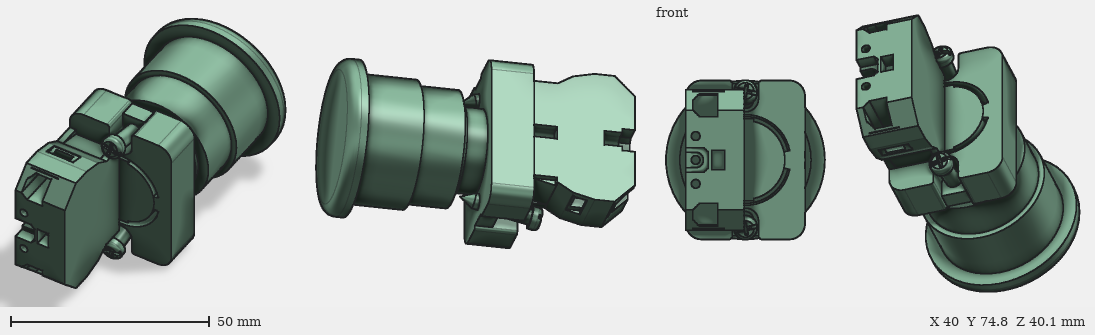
import cadquery as cq
import math


collar_depth = 11.0
stem_radius = 10.9
stem_exposed = 5.5
gasket_radius = 12.0
gasket_depth = 1.25
bezel_radius = 15.0
bezel_depth = 11.0
sleeve_radius = 16.5
sleeve_depth = 15.0
cap_radius = 20.0
cap_depth = 5.0
cap_edge_radius = 3.0
gasket_front = collar_depth + stem_exposed
bezel_front = gasket_front + gasket_depth
sleeve_front = bezel_front + bezel_depth
cap_front = sleeve_front + sleeve_depth
cap_back = cap_front + cap_depth

nose_radius = 9.9
nose_depth = 6.0
nose_key_width = 4.3
nose_key_height = 10.3

collar_width = 30.0
collar_height = 40.0
collar_corner_radius = 4.0
bore_radius = 11.4
bore_depth = 7.0
bore_tab_angle = 24.0
notch_width = 6.6
notch_floor = 12.1
notch_lip_radius = 0.85
web_depth = 4.5
web_top = 19.1
web_front = collar_depth - web_depth

screw_tilt = 11.6
screw_turn = 12.0
head_seat_y = -2.55
head_seat_z = 16.84
head_radius = 2.97
head_height = 2.6
head_rim = 1.4
head_face_radius = 2.1
head_round_radius = 2.7
head_round_height = 2.2
shank_radius = 2.0
shank_length = 14.9
tip_length = 3.7
drive_slot_width = 0.9
drive_slot_depth = 0.8
cross_length = 3.2
cross_width = 0.8
cross_depth = 1.6

block_depth = 26.04
block_left = -collar_width / 2
block_right = -0.35
block_front = -block_depth
nose_half_height = 12.5
body_half_height = 17.7
shoulder_half_height = 16.35
neck_half_height = 14.0
neck_root_half_height = 12.55
nose_slope_end = block_front + 5.25
flat_end = block_front + 10.45
shoulder_y = block_front + 16.0
neck_y = block_front + 19.85
pad_half_height = 13.95
pad_width = 1.85
foot_cut_y = block_front + 20.1

terminal_left = -13.2
terminal_right = -7.0
terminal_low = 10.9
terminal_high = 16.65
terminal_chamfer = 1.65
terminal_depth = 14.9
window_right = -5.3
window_front = block_front + 11.95
window_back = block_front + 15.6
window_floor = 16.25
slit_height = 17.25
slit_width = 0.1
slit_depth = 0.1
pin_x = -12.5
pin_radius = 1.1
pin_depth = 4.0
pin_spacing = 6.0
fixing_slot_radius = 1.95
fixing_slot_depth = 7.9
fixing_recess_right = -9.3
fixing_recess_half_height = 3.05
fixing_recess_depth = 3.25
fixing_recess_chamfer = 1.1
test_window_left = -8.5
test_window_right = -5.25
test_window_half_height = 2.4
test_window_depth = 4.0
side_groove_radius = 1.7
side_groove_center_x = block_left + 2.0
side_groove_length = 6.0


def box(x0, x1, y0, y1, z0, z1):
    """Box between two opposite corners."""
    return cq.Workplane("XY").box(x1 - x0, y1 - y0, z1 - z0, centered=False).translate((x0, y0, z0))


def disc(radius, y0, y1, x=0, z=0):
    """Cylinder along Y from y0 to y1."""
    return cq.Workplane("XZ", origin=(x, y0, z)).circle(radius).extrude(y0 - y1)


def prism_y(points, y0, y1):
    """Polygon of (x, z) points extruded along Y from y0 to y1."""
    return cq.Workplane("XZ", origin=(0, y0, 0)).polyline(points).close().extrude(y0 - y1)


def prism_x(points, x0, x1):
    """Polygon of (y, z) points extruded along X from x0 to x1."""
    return cq.Workplane("YZ", origin=(x0, 0, 0)).polyline(points).close().extrude(x1 - x0)


def both_ends(shape):
    """The shape together with its mirror image below the XY plane."""
    return shape.union(shape.mirror("XY"))


def make_cap():
    sleeve = disc(sleeve_radius, sleeve_front, cap_front)
    rim = disc(cap_radius, cap_front, cap_back).faces(">Y").edges().fillet(cap_edge_radius)
    return sleeve.union(rim)


def make_button_body():
    nose = disc(nose_radius, 0, nose_depth)
    key = box(-nose_key_width / 2, nose_key_width / 2, 0, nose_depth, -nose_key_height, nose_key_height)
    stem = disc(stem_radius, nose_depth, gasket_front)
    gasket = disc(gasket_radius, gasket_front, bezel_front)
    bezel = disc(bezel_radius, bezel_front, sleeve_front)
    return nose.union(key).union(stem).union(gasket).union(bezel)


def make_screw():
    """Upper screw, turned about its own axis and then tilted with its head up and outwards."""
    profile = (
        cq.Workplane("XY")
        .moveTo(0, -head_height)
        .lineTo(head_face_radius, -head_height)
        .threePointArc((head_round_radius, -head_round_height), (head_radius, -head_rim))
        .lineTo(head_radius, 0)
        .lineTo(shank_radius, 0)
        .lineTo(shank_radius, shank_length)
        .lineTo(0, shank_length + tip_length)
        .close()
    )
    screw = profile.revolve(360, (0, 0, 0), (0, 1, 0))
    slot_half = drive_slot_width / 2
    slot = box(-head_radius, head_radius, -head_height, drive_slot_depth - head_height, -slot_half, slot_half)
    cross = box(
        -cross_width / 2, cross_width / 2,
        -head_height, cross_depth - head_height,
        -cross_length / 2, cross_length / 2,
    )
    cross = cross.union(cross.rotate((0, 0, 0), (0, 1, 0), 90))
    screw = screw.cut(slot).cut(cross)
    screw = screw.rotate((0, 0, 0), (0, 1, 0), screw_turn)
    screw = screw.rotate((0, 0, 0), (1, 0, 0), -screw_tilt)
    return screw.translate((0, head_seat_y, head_seat_z))


def make_collar_notch():
    """Upper screw notch: round floor, open top with rounded lips, closed behind by a web."""
    half = notch_width / 2
    top = collar_height / 2
    lip = notch_lip_radius
    diagonal = lip * (1 - math.sqrt(0.5))
    outline = (
        cq.Workplane("XZ")
        .moveTo(-half - lip, top)
        .threePointArc((-half - diagonal, top - diagonal), (-half, top - lip))
        .lineTo(-half, notch_floor + half)
        .threePointArc((0, notch_floor), (half, notch_floor + half))
        .lineTo(half, top - lip)
        .threePointArc((half + diagonal, top - diagonal), (half + lip, top))
        .close()
    )
    notch = outline.extrude(-collar_depth)
    web = box(-half, half, web_front, collar_depth, 0, web_top)
    return notch.cut(web)


def make_collar(button_body, screws):
    collar = (
        cq.Workplane("XZ")
        .rect(collar_width, collar_height)
        .extrude(-collar_depth)
        .edges("|Y")
        .fillet(collar_corner_radius)
    )
    collar = collar.cut(both_ends(make_collar_notch()))
    reach = 2 * bore_radius
    rise = reach * math.tan(math.radians(bore_tab_angle / 2))
    tab_wedges = [[(0, 0), (side * reach, -rise), (side * reach, rise)] for side in (-1, 1)]
    annulus = disc(bore_radius, 0, bore_depth)
    for wedge in tab_wedges:
        annulus = annulus.cut(prism_y(wedge, 0, bore_depth))
    collar = collar.cut(annulus).cut(button_body)
    for screw in screws:
        collar = collar.cut(screw)
    return collar


def make_block_blank():
    """Waisted profile with flat pads beside the sloping neck."""
    upper = [
        (0, neck_root_half_height),
        (neck_y, neck_half_height),
        (shoulder_y, shoulder_half_height),
        (flat_end, body_half_height),
        (nose_slope_end, body_half_height),
        (block_front, nose_half_height),
    ]
    lower = [(y, -z) for y, z in reversed(upper)]
    blank = prism_x(upper + lower, block_left, block_right)
    for x in (block_left, block_right - pad_width):
        blank = blank.union(box(x, x + pad_width, neck_y, 0, -pad_half_height, pad_half_height))
    foot_cut = box(
        block_left, block_left + pad_width, foot_cut_y, 0, -body_half_height, -neck_root_half_height
    )
    return blank.cut(foot_cut)


def make_terminal_pocket():
    c = terminal_chamfer
    outline = [
        (terminal_right, terminal_low),
        (terminal_right, terminal_high),
        (terminal_left + c, terminal_high),
        (terminal_left, terminal_high - c),
        (terminal_left, terminal_low + c),
        (terminal_left + c, terminal_low),
    ]
    return prism_y(outline, block_front, block_front + terminal_depth)


def make_label_window():
    """Flat-floored window on the upper slope; the terminal pocket below breaks through its floor."""
    return box(terminal_left, window_right, window_front, window_back, window_floor, body_half_height)


def make_nose_slit():
    """Hairline slit across the upper front slope, centred on the sloping surface."""
    slope_run = nose_slope_end - block_front
    slope_rise = body_half_height - nose_half_height
    slope_y = block_front + slope_run * (slit_height - nose_half_height) / slope_rise
    return box(
        terminal_left, window_right,
        slope_y - slit_depth, slope_y + slit_depth,
        slit_height - slit_width / 2, slit_height + slit_width / 2,
    )


def make_fixing_slot():
    """Stepped side-entry slot around the middle pin hole."""
    r = fixing_slot_radius
    slot_back = block_front + fixing_slot_depth
    slot = box(block_left, pin_x, block_front, slot_back, -r, r).union(
        disc(r, block_front, slot_back, pin_x)
    )
    h = fixing_recess_half_height
    c = fixing_recess_chamfer
    outline = [
        (block_left, -h),
        (fixing_recess_right - c, -h),
        (fixing_recess_right, c - h),
        (fixing_recess_right, h - c),
        (fixing_recess_right - c, h),
        (block_left, h),
    ]
    recess = prism_y(outline, block_front, block_front + fixing_recess_depth)
    pin_hole = disc(pin_radius, slot_back, slot_back + pin_depth, pin_x)
    return slot.union(recess).union(pin_hole)


def make_side_groove():
    r = side_groove_radius
    groove = box(block_left, side_groove_center_x, -side_groove_length, 0, -r, r)
    return groove.union(disc(r, -side_groove_length, 0, side_groove_center_x))


def make_contact_block():
    block = make_block_blank()
    block = block.cut(both_ends(make_terminal_pocket()))
    block = block.cut(both_ends(make_label_window()))
    block = block.cut(both_ends(make_nose_slit()))
    for z in (-pin_spacing, pin_spacing):
        block = block.cut(disc(pin_radius, block_front, block_front + pin_depth, pin_x, z))
    block = block.cut(make_fixing_slot()).cut(make_side_groove())
    h = test_window_half_height
    test_window_back = block_front + test_window_depth
    test_window = box(test_window_left, test_window_right, block_front, test_window_back, -h, h)
    return block.cut(test_window)


cap = make_cap()
button_body = make_button_body()
upper_screw = make_screw()
screws = [upper_screw, upper_screw.mirror("XY")]
collar = make_collar(button_body, screws)
contact_block = make_contact_block()

result = cq.Compound.makeCompound(
    [cap.val(), button_body.val(), collar.val(), contact_block.val()] + [screw.val() for screw in screws]
)